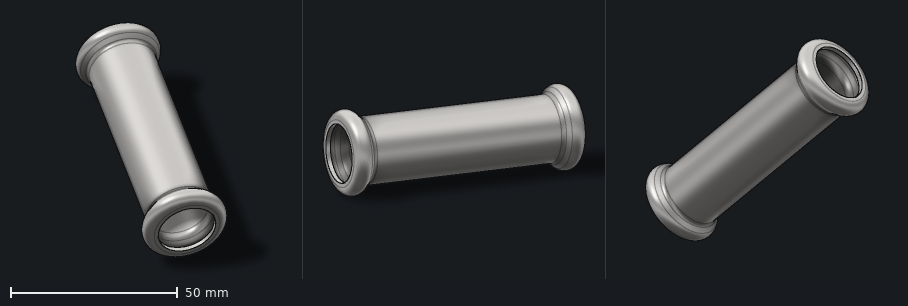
import cadquery as cq
import math

length = 77.0
tube_diameter = 21.0
bead_diameter = 26.5
bead_radius = 3.0
wall = 1.55
neck_radius = 1.9
flank_angle = math.radians(45)

tube_radius = tube_diameter / 2
bore_radius = tube_radius - wall
bead_center_x = bead_radius
bead_center_r = bead_diameter / 2 - bead_radius
groove_radius = bead_radius - wall
neck_center_r = tube_radius + neck_radius

flank_rise = bead_center_r - neck_center_r
neck_center_x = bead_center_x + (
    (bead_radius + neck_radius + flank_rise * math.cos(flank_angle)) / math.sin(flank_angle)
)


def bead_point(radius, angle):
    """Point on a bead arc, with the angle measured from radially outward toward the tube."""
    return (bead_center_x + radius * math.sin(angle), bead_center_r + radius * math.cos(angle))


def neck_point(radius, angle):
    """Point on a neck arc, with the angle measured from radially inward toward the bead."""
    return (neck_center_x - radius * math.sin(angle), neck_center_r - radius * math.cos(angle))


def half_tube():
    """Revolved half of the tube, from the bead's end face to mid-length."""
    inner_neck_radius = neck_radius + wall
    profile = (
        cq.Workplane("XY")
        .moveTo(0, bore_radius)
        .lineTo(0, bead_center_r)
        .threePointArc(bead_point(bead_radius, 0), bead_point(bead_radius, flank_angle))
        .lineTo(*neck_point(neck_radius, flank_angle))
        .threePointArc(neck_point(neck_radius, flank_angle / 2), neck_point(neck_radius, 0))
        .lineTo(length / 2, tube_radius)
        .lineTo(length / 2, bore_radius)
        .lineTo(*neck_point(inner_neck_radius, 0))
        .threePointArc(
            neck_point(inner_neck_radius, flank_angle / 2),
            neck_point(inner_neck_radius, flank_angle),
        )
        .lineTo(*bead_point(groove_radius, flank_angle))
        .threePointArc(bead_point(groove_radius, 0), (wall, bead_center_r))
        .lineTo(wall, bore_radius)
        .close()
    )
    return profile.revolve(360, (0, 0, 0), (1, 0, 0)).translate((-length / 2, 0, 0))


left_half = half_tube()
result = left_half.union(left_half.mirror("YZ"))
result = result.clean()